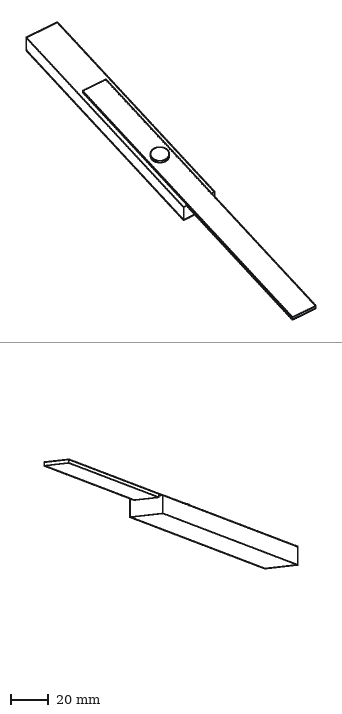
import cadquery as cq

base_length = 150.0
base_width = 20.0
base_height = 10.0

strip_start = 50.0
strip_length = 200.0
strip_width = 15.0
strip_thickness = 2.0
strip_sink = strip_thickness / 2

total_height = 12.5
head_diameter = 10.0
head_x = 112.5

strip_bottom = base_height - strip_sink
strip_top = strip_bottom + strip_thickness
head_height = total_height - strip_top

base = cq.Workplane("XY").box(base_length, base_width, base_height, centered=(False, True, False))

strip = (
    cq.Workplane("XY", origin=(strip_start, 0, strip_bottom))
    .box(strip_length, strip_width, strip_thickness, centered=(False, True, False))
)

head = (
    cq.Workplane("XY", origin=(head_x, 0, strip_top))
    .circle(head_diameter / 2)
    .extrude(head_height)
)

result = base.union(strip).union(head)